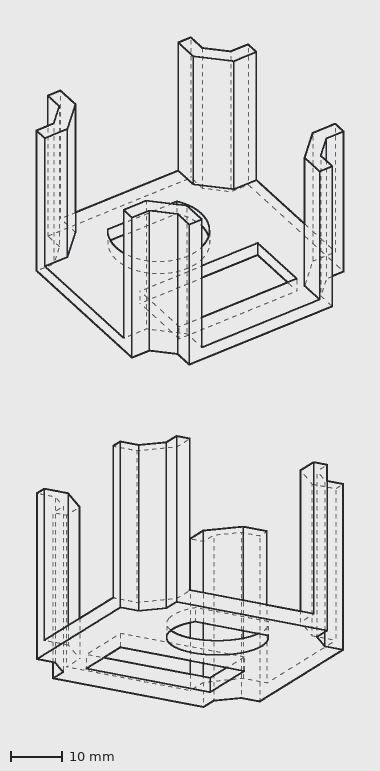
import cadquery as cq

side = 49.7
height = 34.5
wall = 3.0
half_side = side / 2

leg_face = 16.8
notch_bevel = 4.0
post_inner_face = leg_face - wall

round_radius = 9.95
round_center_x = -11.05
flat_x = -leg_face
window_left = 3.1
window_right = leg_face
window_length = 2 * post_inner_face


def corner_notch(x_sign, y_sign):
    """Cutter for one corner, following the outer faces of the post."""
    bevel_end = leg_face + notch_bevel
    points = [
        (leg_face, half_side),
        (leg_face, bevel_end),
        (bevel_end, leg_face),
        (half_side, leg_face),
        (half_side, half_side),
    ]
    signed_points = [(x_sign * x, y_sign * y) for x, y in points]
    return cq.Workplane("XY").polyline(signed_points).close().extrude(height)


def post_cavity():
    """Space between the posts, open on all four sides above the floor."""
    bevel_sum = 2 * leg_face + notch_bevel - wall * 2**0.5
    bevel_end = bevel_sum - post_inner_face
    quarter = [
        (half_side, post_inner_face),
        (bevel_end, post_inner_face),
        (post_inner_face, bevel_end),
        (post_inner_face, half_side),
    ]
    points = []
    for x_sign, y_sign in [(1, 1), (-1, 1), (-1, -1), (1, -1)]:
        corner = [(x_sign * x, y_sign * y) for x, y in quarter]
        points += corner if x_sign == y_sign else corner[::-1]
    return cq.Workplane("XY").workplane(offset=wall).polyline(points).close().extrude(height - wall)


def round_opening():
    """Through hole with a flat on its -X side."""
    disc = cq.Workplane("XY").center(round_center_x, 0).circle(round_radius).extrude(wall)
    right_of_flat = cq.Workplane("XY").box(side, side, wall, centered=(False, True, False))
    return disc.intersect(right_of_flat.translate((flat_x, 0, 0)))


def window():
    """Rectangular through opening on the +X side."""
    width = window_right - window_left
    blank = cq.Workplane("XY").box(width, window_length, wall, centered=(False, True, False))
    return blank.translate((window_left, 0, 0))


result = cq.Workplane("XY").box(side, side, height, centered=(True, True, False))
for x_sign in (-1, 1):
    for y_sign in (-1, 1):
        result = result.cut(corner_notch(x_sign, y_sign))
result = result.cut(post_cavity()).cut(round_opening()).cut(window())